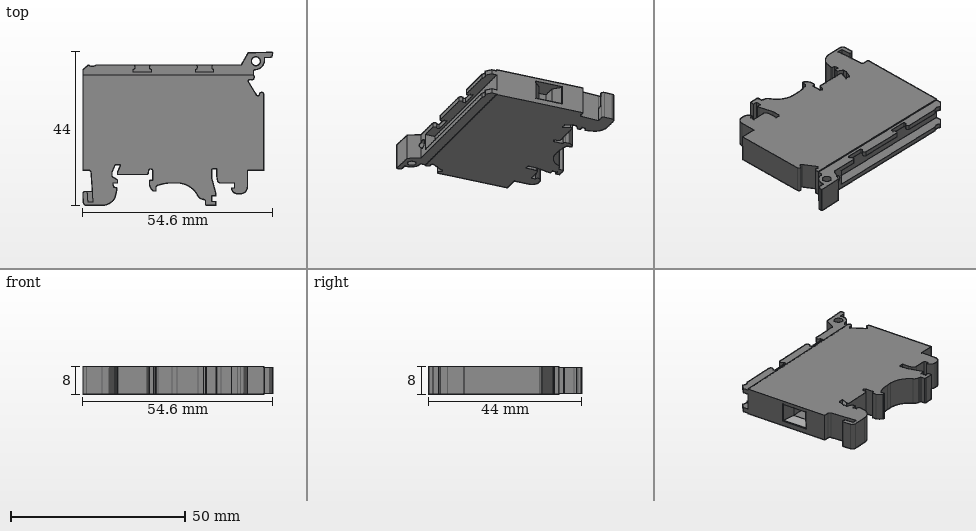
import cadquery as cq
import math


length = 54.6
thickness = 8.0
left_x = 0.05
right_x = 52.0
shoulder_y = 10.1
housing_top_y = 37.45
rail_face_y = 6.45
toe_groove_x = 37.05
nose_neck_x = 20.05
slit_top_y = 10.5

cap_bottom_z = 0.15
cap_top_z = 7.7
cap_strip_y = 40.4
cap_end_x = 49.1
channel_bottom_z = 1.55
channel_top_z = 6.35
channel_end_x = 42.6
cap_bore_diameter = 2.5
cap_bore_x = 44.55
cap_bore_z = 4.2

lug_foot_x = 45.55
lug_hole_x = 49.75
lug_hole_y = 41.45
lug_hole_diameter = 2.5
lug_right_x = 52.25
lug_radius = 2.85
lug_left_x = 47.5
lug_left_y = 43.9
lug_top_y = 44.05
tab_bottom_y = 42.45
tab_chamfer = 0.2

notch_centres_x = (17.1, 35.0)
notch_floor_y = 38.3
notch_step_y = 39.05
notch_waist_y = 39.7
notch_floor_half = 2.6
notch_waist_half = 2.1
notch_mouth_half = 2.5

entry_centre_y = 20.9
entry_width = 8.35
entry_inner_width = 4.15
entry_bottom_z = 1.55
entry_inner_bottom_z = 2.9
entry_top_z = 7.0
entry_rim_depth = 0.5
entry_funnel_end = 2.55
entry_depth = 6.55

lip_top_y = 4.05
leg_x = 2.75
leg_lean = 0.2
slot_floor_y = 1.05
slot_width = 1.5
slot_depth = thickness / 2


def left_foot(path):
    """Leg with the springy hook, from the left shoulder to the pointed slit behind the hook."""
    heel_radius = 4.3
    heel_start_x = 5.5
    heel_x = 9.8
    heel_arc_end_x = 9.3
    toe_radius = 1.05
    toe_left_x = 0.1
    lip_round = 0.65
    shoulder_round = 0.6
    hook_tip_x = 10.0
    hook_root_x = 8.4
    catch_x = 8.75
    hook_y = 6.45
    slit_y = 11.7
    hook_slant_y = 9.5
    shoulder_start_x = 1.75
    shoulder_end_x = 2.35
    heel_arc_end_y = heel_radius - math.sqrt(heel_radius**2 - (heel_arc_end_x - heel_start_x)**2)
    return (
        path.lineTo(shoulder_start_x, shoulder_y)
        .radiusArc((shoulder_end_x, shoulder_y - shoulder_round), shoulder_round)
        .lineTo(leg_x, lip_top_y)
        .lineTo(lip_round, lip_top_y)
        .radiusArc((0, lip_top_y - lip_round), -lip_round)
        .lineTo(toe_left_x, toe_radius)
        .radiusArc((toe_left_x + toe_radius, 0), -toe_radius)
        .lineTo(heel_start_x, 0)
        .radiusArc((heel_arc_end_x, heel_arc_end_y), -heel_radius)
        .lineTo(heel_x, 4.5)
        .lineTo(heel_x, 5.1)
        .lineTo(8.95, 5.3)
        .lineTo(catch_x, 6.0)
        .lineTo(catch_x, hook_y)
        .lineTo(hook_tip_x, hook_y)
        .lineTo(hook_tip_x, 7.35)
        .lineTo(hook_root_x, 8.35)
        .lineTo(hook_root_x, hook_slant_y)
        .lineTo(9.35, slit_y)
        .lineTo(10.85, slit_y)
    )


def rail_seat(path):
    """Flat seat between the hook and the middle foot, ending in the first narrow slit."""
    seat_y = 8.85
    seat_start_x = 9.95
    seat_end_x = 18.35
    end_round = 0.5
    slit_left_x = 19.0
    slit_arc_y = 10.15
    seat_round = 0.35
    return (
        path.lineTo(seat_start_x, 9.5)
        .lineTo(seat_start_x, seat_y + seat_round)
        .radiusArc((seat_start_x + seat_round, seat_y), -seat_round)
        .lineTo(seat_end_x, seat_y)
        .radiusArc((seat_end_x + end_round, seat_y + end_round), -end_round)
        .lineTo(slit_left_x, slit_arc_y)
        .threePointArc(((slit_left_x + nose_neck_x) / 2, slit_top_y), (nose_neck_x, slit_arc_y))
    )


def middle_foot(path):
    """Foot with a nose on its left, a wide arch and a grooved toe on its right."""
    nose_x = 19.15
    nose_top_y = 7.3
    nose_round = 0.4
    nose_right_x = 21.05
    nose_front_radius = 2.75
    groove_bottom_y = 1.2
    groove_top_y = 2.8
    arch_left_radius = 11.95
    arch_right_radius = 6.7
    arch_flat_start_x = 25.65
    arch_flat_end_x = 27.1
    toe_fillet = 1.75
    toe_left_x = 35.2
    toe_right_x = 38.25
    toe_chamfer = 0.3
    toe_top_y = 1.5
    fillet_end_y = 1.75
    fillet_centre_y = fillet_end_y + toe_fillet
    arch_centre_y = rail_face_y - arch_right_radius
    reach = arch_right_radius + toe_fillet
    fillet_centre_x = arch_flat_end_x + math.sqrt(reach**2 - (fillet_centre_y - arch_centre_y)**2)
    share = arch_right_radius / reach
    touch_x = arch_flat_end_x + share * (fillet_centre_x - arch_flat_end_x)
    touch_y = arch_centre_y + share * (fillet_centre_y - arch_centre_y)
    return (
        path.lineTo(nose_neck_x, nose_top_y)
        .lineTo(nose_x + nose_round, nose_top_y)
        .radiusArc((nose_x, nose_top_y - nose_round), -nose_round)
        .lineTo(nose_x, 5.8)
        .radiusArc((20.3, 4.15), -nose_front_radius)
        .lineTo(20.8, 4.1)
        .radiusArc((nose_right_x, 4.4), -0.35)
        .lineTo(nose_right_x, 5.2)
        .radiusArc((21.6, 5.8), 0.65)
        .radiusArc((arch_flat_start_x, rail_face_y), arch_left_radius)
        .lineTo(arch_flat_end_x, rail_face_y)
        .radiusArc((touch_x, touch_y), arch_right_radius)
        .radiusArc((fillet_centre_x, fillet_end_y), -toe_fillet)
        .lineTo(toe_left_x, toe_top_y)
        .lineTo(toe_left_x, toe_chamfer)
        .lineTo(toe_left_x + toe_chamfer, 0)
        .lineTo(toe_right_x, 0)
        .lineTo(toe_right_x, groove_bottom_y)
        .lineTo(toe_groove_x, groove_bottom_y)
        .lineTo(toe_groove_x, groove_top_y)
        .lineTo(toe_right_x, groove_top_y)
        .lineTo(toe_right_x, 3.4)
        .lineTo(toe_groove_x, 7.9)
    )


def right_foot(path):
    """Second narrow slit, the flat behind it and the rounded right foot, up to the right shoulder."""
    slit_left_x = toe_groove_x
    slit_right_x = 38.5
    slit_round = 0.35
    ball_bottom_y = 3.35
    ball_left_radius = 1.75
    ball_right_radius = 2.1
    ball_left_x = 42.75
    ball_right_x = 47.35
    catch_x = 43.55
    catch_y = ball_bottom_y + ball_left_radius
    return (
        path.lineTo(slit_left_x, slit_top_y - slit_round)
        .radiusArc((slit_left_x + slit_round, slit_top_y), slit_round)
        .lineTo(slit_right_x, slit_top_y)
        .lineTo(slit_right_x, 8.3)
        .lineTo(38.65, 7.25)
        .radiusArc((39.7, rail_face_y), -0.95)
        .lineTo(catch_x, rail_face_y)
        .lineTo(catch_x, catch_y)
        .lineTo(ball_left_x, catch_y)
        .radiusArc((ball_left_x + ball_left_radius, ball_bottom_y), -ball_left_radius)
        .lineTo(ball_right_x - ball_right_radius, ball_bottom_y)
        .radiusArc((ball_right_x, ball_bottom_y + ball_right_radius), -ball_right_radius)
        .lineTo(ball_right_x, shoulder_y)
        .lineTo(right_x, shoulder_y)
    )


def cap_hinge_recess(path):
    """Right face with the rounded bump and the slanted recess below the cap, up to the joint."""
    bump_radius = 0.65
    bump_centre_y = 31.9
    recess_foot_x = 49.85
    recess_foot_radius = 0.45
    recess_root_x = 47.5
    bead_bottom_y = 36.05
    bead_tip_x = 49.25
    bump_left_x = right_x - 2 * bump_radius
    return (
        path.lineTo(right_x, bump_centre_y)
        .radiusArc((bump_left_x, bump_centre_y), -bump_radius)
        .radiusArc((recess_foot_x, bump_centre_y), recess_foot_radius)
        .lineTo(recess_root_x, 35.7)
        .radiusArc((48.4, bead_bottom_y), 0.6)
        .threePointArc((bead_tip_x, 36.65), (cap_end_x, housing_top_y))
    )


def make_housing():
    path = cq.Workplane("XY").moveTo(left_x, shoulder_y)
    for stretch in (left_foot, rail_seat, middle_foot, right_foot, cap_hinge_recess):
        path = stretch(path)
    return path.lineTo(left_x, housing_top_y).close().extrude(thickness)


def make_cap():
    """Strip with a bevelled left end and a pierced lug with a finger tab on its right end."""
    dip_left_x = 1.65
    dip_right_x = 3.8
    dip_depth = 0.4
    bevel_bottom_y = 39.05
    outline = (
        cq.Workplane("XY", origin=(0, 0, cap_bottom_z))
        .moveTo(left_x, housing_top_y)
        .lineTo(cap_end_x, housing_top_y)
        .lineTo(cap_end_x, 38.75)
        .lineTo(49.35, 39.0)
        .radiusArc((lug_right_x, 41.7), -lug_radius)
        .lineTo(lug_right_x, tab_bottom_y)
        .lineTo(53.7, tab_bottom_y)
        .lineTo(54.2, 42.65)
        .radiusArc((54.4, 42.9), -0.35)
        .lineTo(length, lug_top_y - tab_chamfer)
        .lineTo(length - tab_chamfer, lug_top_y)
        .lineTo(lug_left_x, lug_left_y)
        .lineTo(lug_foot_x, cap_strip_y)
        .lineTo(dip_right_x, cap_strip_y)
        .threePointArc((2.85, cap_strip_y - dip_depth), (dip_left_x, cap_strip_y))
        .lineTo(left_x, bevel_bottom_y)
        .close()
    )
    cap = outline.extrude(cap_top_z - cap_bottom_z)

    channel = cq.Workplane("XY").box(
        channel_end_x,
        cap_strip_y - housing_top_y,
        channel_top_z - channel_bottom_z,
        centered=False,
    ).translate((0, housing_top_y, channel_bottom_z))

    lug_hole = (
        cq.Workplane("XY")
        .center(lug_hole_x, lug_hole_y)
        .circle(lug_hole_diameter / 2)
        .extrude(thickness)
    )

    cap_bore = (
        cq.Workplane("XZ", origin=(cap_bore_x, lug_top_y, cap_bore_z))
        .circle(cap_bore_diameter / 2)
        .extrude(lug_top_y - housing_top_y)
    )

    cap = cap.cut(channel).cut(lug_hole).cut(cap_bore)
    for centre_x in notch_centres_x:
        cap = cap.cut(marker_notch(centre_x))
    return cap


def marker_notch(centre_x):
    """Undercut notch with bulging side walls, cut through the upper flange only."""
    return (
        cq.Workplane("XY", origin=(centre_x, 0, channel_top_z))
        .moveTo(-notch_floor_half, notch_floor_y)
        .lineTo(notch_floor_half, notch_floor_y)
        .lineTo(notch_floor_half, notch_step_y)
        .threePointArc((notch_waist_half, notch_waist_y), (notch_mouth_half, cap_strip_y))
        .lineTo(-notch_mouth_half, cap_strip_y)
        .threePointArc((-notch_waist_half, notch_waist_y), (-notch_floor_half, notch_step_y))
        .close()
        .extrude(thickness - channel_top_z)
    )


def wire_entry():
    """Straight rim, a funnel whose roof stays level, and a straight blind passage behind it."""
    mouth_height = entry_top_z - entry_bottom_z
    inner_height = entry_top_z - entry_inner_bottom_z
    inner_rise = (mouth_height - inner_height) / 2
    mouth = cq.Workplane("YZ", origin=(left_x, entry_centre_y, entry_bottom_z + mouth_height / 2))
    rim = mouth.rect(entry_width, mouth_height).extrude(entry_rim_depth)
    funnel = (
        mouth.workplane(offset=entry_rim_depth)
        .rect(entry_width, mouth_height)
        .workplane(offset=entry_funnel_end - entry_rim_depth)
        .center(0, inner_rise)
        .rect(entry_inner_width, inner_height)
        .loft(combine=True)
    )
    passage = (
        mouth.workplane(offset=entry_funnel_end)
        .center(0, inner_rise)
        .rect(entry_inner_width, inner_height)
        .extrude(entry_depth - entry_funnel_end)
    )
    return rim.union(funnel).union(passage)


def lip_slot():
    """Slightly leaning slot between the leg and the lip, open at the top and towards +Y."""
    return (
        cq.Workplane("XY", origin=(0, 0, thickness - slot_depth))
        .polyline([
            (leg_x, lip_top_y),
            (leg_x - slot_width, lip_top_y),
            (leg_x - slot_width + leg_lean, slot_floor_y),
            (leg_x + leg_lean, slot_floor_y),
        ])
        .close()
        .extrude(slot_depth)
    )


result = make_housing().cut(wire_entry()).cut(lip_slot()).union(make_cap())